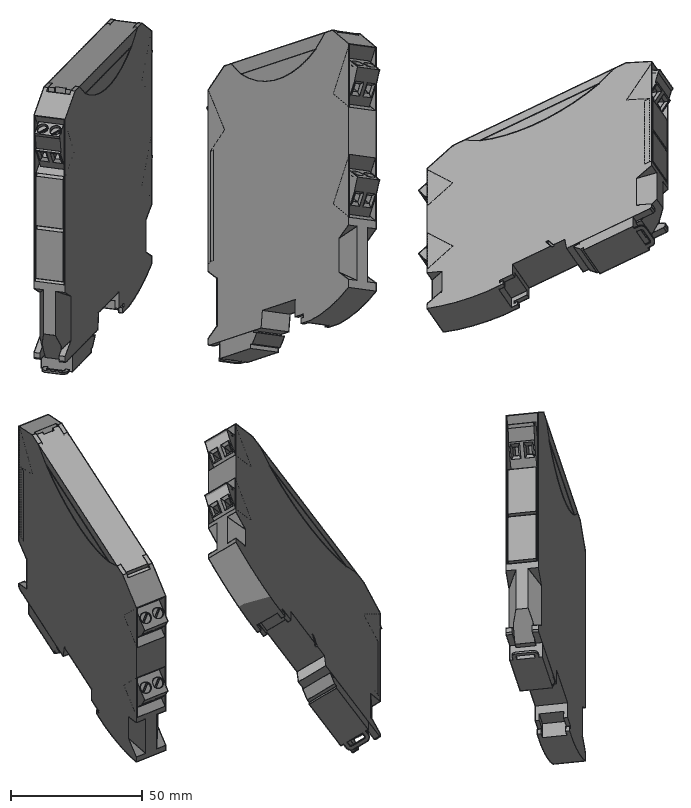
import cadquery as cq
import math

thickness = 12.6
half_width = thickness / 2
half_length = 49.5
height = 113.7
base_z = 6.6
top_half_length = 38.1
shoulder_z = 106.3
slope = (height - shoulder_z) / (half_length - top_half_length)
tilt = math.atan(slope)

heel_z = 11.1
sweep_mid_y = 32.0
sweep_mid_z = 4.7
sweep_end_y = 23.1
hook_bottom_z = 3.2
hook_end_y = 15.9
hook_lip_z = 5.3
hook_root_y = 17.5
rail_z = 13.3
rail_rear_y = 11.7
rail_front_y = -11.1
rail_front_base_y = -12.0
toe_chamfer = 0.7
hook_wall = 1.6
hook_notch_top_z = 9.5
hook_notch_end_y = 18.6

pocket_half_front = 2.4
pocket_inner_y = 42.8
pocket_top_z = 35.5
pocket_top_inner_z = 31.5
front_pocket_bottom_z = 9.3
front_pocket_bottom_inner_z = 13.4
rear_pocket_bottom_z = 14.3
rear_pocket_bottom_inner_z = 18.3

nose_top_z = 17.4
nose_bottom_y = 43.5
nose_half_width = 3.9
tab_bottom_z = 5.5

foot_front_y = -41.2
foot_rear_y = -19.4
latch_root_y = -17.5
latch_root_z = 5.9
latch_tip_y = -15.0
latch_tip_z = 5.5
latch_heel_y = -18.2
latch_heel_z = 1.6
loop_front_y = -45.1
loop_half_width = 5.1
loop_thickness = 0.8
loop_bar = 1.6
loop_radius = 2.2

lid_half_top = 33.2
lid_half_bottom = 26.3
lid_bottom_z = 108.4
tongue_half_width = 4.7
tongue_half_length = 37.5
tongue_bottom_z = 111.2
notch_half_width = 2.2
notch_depth = 1.1
groove_half_length = 39.6
groove_floor_slope = 0.47
finger_bottom_z = 101.5
finger_depth = 0.17

slot_half_width = 5.9
slot_rim_z = 106.1
slot_floor_z = 81.5
slot_height = slot_rim_z - slot_floor_z
slot_back = slot_height * math.cos(tilt)
slot_floor = slot_height * math.sin(tilt)
slot_pitch = 21.5
terminal_half_width = 5.0

way_spacing = 5.2
screw_radius = 2.2
screw_recess = 1.4
driver_slot_width = 0.6
driver_slot_depth = 0.5
driver_slot_angle = 45.0
entry_width = 3.8
entry_height = 5.9
entry_center = 6.7
funnel_depth = 0.9
wire_hole_width = 2.2
wire_hole_height = 3.3
wire_hole_depth = 6.8

plate_bottom_z = 39.2
plate_depth = 3.4
plate_shoulder = 1.3
panel_pitch = 21.6
panel_half_width = 5.5
panel_bevel = plate_shoulder * slope
panel_lower_bevel = 0.5
sill_drop = 0.7
plate_top_z = slot_floor_z + panel_bevel

rail_groove_rear_y = -3.0
rail_groove_front_y = -4.0
rail_groove_top_z = 18.0
rail_groove_run = 2.3
rail_groove_depth = 0.6


def side_prism(points, half):
    """Extrude a closed Y-Z outline symmetrically about the mid-plane."""
    return cq.Workplane("YZ").polyline(points).close().extrude(half, both=True)


def box(x_range, y_range, z_range):
    """Axis-aligned box between the given limits."""
    (x0, x1), (y0, y1), (z0, z1) = x_range, y_range, z_range
    return cq.Workplane("XY").box(x1 - x0, y1 - y0, z1 - z0, centered=False).translate((x0, y0, z0))


def slot_plane(floor_z):
    """Mid-plane of a front slot: local x points outward and down, local y outward and up."""
    depth = slot_floor * math.cos(tilt)
    outward = cq.Vector(0, -math.cos(tilt), -math.sin(tilt))
    corner = (0, depth - half_length, floor_z + depth * slope)
    return cq.Plane(origin=corner, xDir=outward.toTuple(), normal=(-1, 0, 0))


def to_rear(shape):
    """Turn a shape from the front end to the rear end."""
    return shape.rotate((0, 0, 0), (0, 0, 1), 180)


def make_lid():
    cover = side_prism(
        [
            (-lid_half_top, height),
            (-lid_half_bottom, lid_bottom_z),
            (lid_half_bottom, lid_bottom_z),
            (lid_half_top, height),
        ],
        half_width,
    )
    tongues = box(
        (-tongue_half_width, tongue_half_width),
        (-tongue_half_length, tongue_half_length),
        (tongue_bottom_z, height),
    )
    notch = box(
        (-notch_half_width, notch_half_width),
        (-tongue_half_length, notch_depth - tongue_half_length),
        (tongue_bottom_z, height),
    )
    return cover.union(tongues).cut(notch)


def make_blank_plate():
    back_y = plate_depth - half_length
    shoulder_y = plate_shoulder - half_length
    plate = box(
        (-slot_half_width, slot_half_width), (shoulder_y, back_y), (plate_bottom_z, plate_top_z)
    )
    panel_height = plate_top_z - plate_bottom_z - panel_pitch
    for step in range(2):
        top_z = plate_top_z - step * panel_pitch
        bottom_z = top_z - panel_height
        panel = side_prism(
            [
                (back_y, top_z),
                (shoulder_y, top_z),
                (-half_length, top_z - panel_bevel),
                (-half_length, bottom_z + panel_lower_bevel),
                (shoulder_y, bottom_z),
                (back_y, bottom_z),
            ],
            panel_half_width,
        )
        plate = plate.union(panel)
    return plate


def plate_recess():
    """Recess for the blanking plate, with a sloping sill along its lower edge."""
    sill_y = sill_drop / slope - half_length
    return side_prism(
        [
            (plate_depth - half_length, plate_top_z),
            (-half_length, plate_top_z),
            (-half_length, plate_bottom_z - sill_drop),
            (sill_y, plate_bottom_z),
            (plate_depth - half_length, plate_bottom_z),
        ],
        slot_half_width,
    )


def make_terminal(floor_z, outline, screw_n, tip_t, entry_face):
    """Plug-in terminal block in a front slot; the outline is in slot frame (n, t)."""
    plane = slot_plane(floor_z)
    block = cq.Workplane(plane).polyline(outline).close().extrude(terminal_half_width, both=True)
    along_n = plane.xDir
    along_t = plane.yDir
    for side in (-1, 1):
        x = side * way_spacing / 2
        screw_seat = plane.toWorldCoords((screw_n, tip_t, -x))
        screw_plane = cq.Plane(origin=screw_seat, xDir=(1, 0, 0), normal=along_t)
        recess = cq.Workplane(screw_plane).circle(screw_radius).extrude(-screw_recess)
        driver_slot = (
            cq.Workplane(screw_plane.rotated((0, 0, driver_slot_angle)))
            .workplane(offset=-screw_recess)
            .rect(2 * screw_radius, driver_slot_width)
            .extrude(-driver_slot_depth)
        )
        mouth = plane.toWorldCoords((entry_face, entry_center, -x))
        entry_plane = cq.Plane(origin=mouth, xDir=(1, 0, 0), normal=along_n)
        funnel = (
            cq.Workplane(entry_plane)
            .rect(entry_width, entry_height)
            .workplane(offset=-funnel_depth)
            .rect(wire_hole_width, wire_hole_height)
            .loft(combine=True)
        )
        wire_hole = (
            cq.Workplane(entry_plane)
            .rect(wire_hole_width, wire_hole_height)
            .extrude(-wire_hole_depth)
        )
        block = block.cut(recess).cut(driver_slot).cut(funnel).cut(wire_hole)
    return block


def make_front_terminal():
    tip_n = 5.7
    tip_t = 17.2
    tip_edge_t = 15.7
    face_foot_n = 7.7
    lip_n = 8.6
    lip_t = 10.3
    screw_n = 3.0
    outline = [
        (0, 0),
        (lip_n, 0),
        (lip_n, lip_t),
        (face_foot_n, lip_t),
        (tip_n, tip_edge_t),
        (tip_n, tip_t),
        (0, tip_t),
    ]
    return make_terminal(slot_floor_z, outline, screw_n, tip_t, lip_n)


def make_rear_terminal(floor_z):
    tip_n = 9.0
    tip_t = 15.0
    tip_edge_t = 13.9
    face_n = 9.9
    face_t = 9.0
    screw_n = 4.5
    outline = [
        (0, 0),
        (face_n, 0),
        (face_n, face_t),
        (tip_n, tip_edge_t),
        (tip_n, tip_t),
        (0, tip_t),
    ]
    return to_rear(make_terminal(floor_z, outline, screw_n, tip_t, face_n))


def terminal_slot(floor_z):
    """Triangular slot whose back wall and floor meet at a right angle."""
    return (
        cq.Workplane(slot_plane(floor_z))
        .polyline([(0, 0), (slot_floor, 0), (0, slot_back)])
        .close()
        .extrude(slot_half_width, both=True)
    )


def make_foot():
    foot = side_prism(
        [
            (latch_root_y, base_z),
            (latch_root_y, latch_root_z),
            (latch_tip_y, latch_tip_z),
            (latch_heel_y, latch_heel_z),
            (foot_rear_y, latch_heel_z),
            (foot_rear_y, 0),
            (foot_front_y, 0),
            (foot_front_y, base_z),
        ],
        half_width,
    )
    loop = box(
        (-loop_half_width, loop_half_width), (loop_front_y, foot_front_y), (0, loop_thickness)
    )
    loop = loop.edges("|Z and <Y").fillet(loop_radius)
    opening_half = loop_half_width - loop_bar
    opening = box(
        (-opening_half, opening_half), (loop_front_y + loop_bar, foot_front_y), (0, loop_thickness)
    )
    opening = opening.edges("|Z and <Y").fillet(loop_radius - loop_bar)
    return foot.union(loop.cut(opening))


def housing_blank():
    return (
        cq.Workplane("YZ")
        .moveTo(-half_length, base_z + toe_chamfer)
        .lineTo(-half_length, shoulder_z)
        .lineTo(-top_half_length, height)
        .lineTo(top_half_length, height)
        .lineTo(half_length, shoulder_z)
        .lineTo(half_length, heel_z)
        .threePointArc((sweep_mid_y, sweep_mid_z), (sweep_end_y, hook_bottom_z))
        .lineTo(hook_end_y, hook_bottom_z)
        .lineTo(hook_end_y, hook_lip_z)
        .lineTo(hook_root_y, hook_lip_z)
        .lineTo(hook_root_y, base_z)
        .lineTo(rail_rear_y, base_z)
        .lineTo(rail_rear_y, rail_z)
        .lineTo(rail_front_y, rail_z)
        .lineTo(rail_front_base_y, base_z)
        .lineTo(toe_chamfer - half_length, base_z)
        .close()
        .extrude(half_width, both=True)
    )


def side_pockets(bottom_z, bottom_inner_z):
    """Pockets on both sides of the front end, leaving a wedge that narrows outward."""
    region = side_prism(
        [
            (-half_length, pocket_top_z),
            (-pocket_inner_y, pocket_top_inner_z),
            (-pocket_inner_y, bottom_inner_z),
            (-half_length, bottom_z),
        ],
        half_width,
    )
    wedge = (
        cq.Workplane("XY")
        .polyline(
            [
                (-half_width, -pocket_inner_y),
                (half_width, -pocket_inner_y),
                (pocket_half_front, -half_length),
                (-pocket_half_front, -half_length),
            ]
        )
        .close()
        .extrude(height)
    )
    return region.cut(wedge)


def hook_notch():
    """Notch through the hook, open to the rail recess and leaving a wall on each side."""
    half = half_width - hook_wall
    return box((-half, half), (rail_rear_y, hook_notch_end_y), (hook_bottom_z, hook_notch_top_z))


def nose_cut():
    """Opening between the prongs, in front of the slanted nose face."""
    return side_prism(
        [(-half_length, nose_top_z), (-nose_bottom_y, tab_bottom_z), (-half_length, tab_bottom_z)],
        nose_half_width,
    )


def nose_tab():
    """Lower end of the nose in front of the foot, before its outer face is slanted."""
    tab_height = base_z - tab_bottom_z
    outer_y = nose_bottom_y + tab_height
    return box((-nose_half_width, nose_half_width), (-outer_y, foot_front_y), (tab_bottom_z, base_z))


def end_groove(inner_y, half):
    """Groove sloping down from the shoulder toward the lid, as far as the given distance."""
    rim_z = height - (groove_half_length - top_half_length) * slope
    floor_z = rim_z - (groove_half_length - inner_y) * groove_floor_slope
    return side_prism(
        [
            (-groove_half_length, rim_z),
            (-inner_y, floor_z),
            (-inner_y, height),
            (-groove_half_length, height),
        ],
        half,
    )


def finger_recess(side):
    """Shallow crescent below the lid on one side face."""
    crescent = (
        cq.Workplane("YZ")
        .moveTo(-lid_half_bottom, lid_bottom_z)
        .threePointArc((0, finger_bottom_z), (lid_half_bottom, lid_bottom_z))
        .close()
        .extrude(finger_depth)
    )
    start_x = half_width - finger_depth if side > 0 else -half_width
    return crescent.translate((start_x, 0, 0))


def rail_groove():
    """Slanted groove in the left side, running up from the rail recess."""
    groove = (
        cq.Workplane("YZ")
        .polyline(
            [
                (rail_groove_rear_y, rail_groove_top_z),
                (rail_groove_front_y, rail_groove_top_z),
                (rail_groove_front_y - rail_groove_run, rail_z),
                (rail_groove_rear_y - rail_groove_run, rail_z),
            ]
        )
        .close()
        .extrude(rail_groove_depth)
    )
    return groove.translate((-half_width, 0, 0))


def make_housing(lid, blank_plate, rear_floors):
    housing = housing_blank()
    housing = housing.cut(side_pockets(front_pocket_bottom_z, front_pocket_bottom_inner_z))
    housing = housing.cut(to_rear(side_pockets(rear_pocket_bottom_z, rear_pocket_bottom_inner_z)))
    housing = housing.union(nose_tab()).cut(nose_cut()).cut(hook_notch())
    housing = housing.cut(plate_recess()).cut(terminal_slot(slot_floor_z))
    for floor_z in rear_floors:
        housing = housing.cut(to_rear(terminal_slot(floor_z)))
    groove = end_groove(tongue_half_length, tongue_half_width)
    notch_groove = end_groove(tongue_half_length - notch_depth, notch_half_width)
    housing = housing.cut(groove).cut(to_rear(groove)).cut(notch_groove)
    for side in (-1, 1):
        housing = housing.cut(finger_recess(side))
    return housing.cut(rail_groove()).cut(lid).cut(blank_plate)


rear_slot_floors = [slot_floor_z - step * slot_pitch for step in (0, 2)]
lid = make_lid()
blank_plate = make_blank_plate()
housing = make_housing(lid, blank_plate, rear_slot_floors)
foot = make_foot()
front_terminal = make_front_terminal()
rear_terminals = [make_rear_terminal(floor_z) for floor_z in rear_slot_floors]

result = cq.Compound.makeCompound(
    [housing.val(), lid.val(), blank_plate.val(), foot.val(), front_terminal.val()]
    + [terminal.val() for terminal in rear_terminals]
)